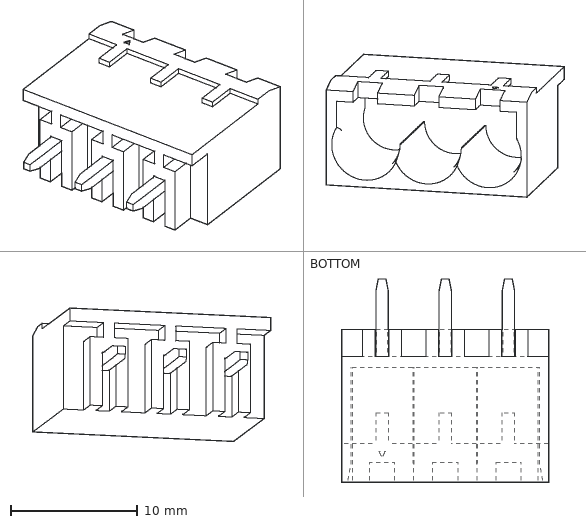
import cadquery as cq

WIDTH = 16.4
HEIGHT = 8.2
DEPTH = 12.1
PITCH = 5.0
POLES = (-PITCH, 0.0, PITCH)

RIM_HEIGHT = 0.45
RIM_DEPTH = 3.08
RIM_SLOPE = 1.57
RIB_WIDTH = 1.0
RIB_END = 5.5
ROOF_TOP = HEIGHT - RIM_HEIGHT

RECESS_DEPTH = 2.13
RECESS_TOP = 6.7
BLOCK_WIDTH = 3.08
BLOCK_TOP = 5.53
NECK_WIDTH = 0.89
SLOT_WIDTH = 1.1
SLOT_TOP = 4.33

PIN_WIDTH = 1.0
PIN_Z = 3.77
PIN_LENGTH = 4.0
TIP_LENGTH = 0.95
TIP_WIDTH = 0.62

WALL = 0.87
NOTCH_WIDTH = 2.0
CAVITY_DEPTH = DEPTH - RECESS_DEPTH - WALL
CAVITY_TOP = ROOF_TOP - WALL
SCALLOP_RADIUS = 2.46
FLARE = 0.28

MARK_SIZE = 0.51
MARK_GAP = 0.38
MARK_DEPTH = 0.1


def box(width, depth, height, x, y, z):
    """Box centred on x, rising from z and running toward +Y from y."""
    return cq.Workplane("XY").box(width, depth, height, centered=(True, False, False)).translate((x, y, z))


def housing():
    side_outline = [
        (0, 0),
        (DEPTH, 0),
        (DEPTH, ROOF_TOP),
        (DEPTH - RIM_SLOPE, HEIGHT),
        (DEPTH - RIM_DEPTH, HEIGHT),
        (DEPTH - RIM_DEPTH, ROOF_TOP),
        (0, ROOF_TOP),
    ]
    body = cq.Workplane("YZ").polyline(side_outline).close().extrude(WIDTH / 2, both=True)
    for x in POLES:
        rib = box(RIB_WIDTH, RIB_END - RIM_DEPTH, RIM_HEIGHT, x, DEPTH - RIB_END, ROOF_TOP)
        body = body.union(rib)
    return body


def solder_recess():
    """Space under the roof overhang that is left around the slotted blocks."""
    space = box(WIDTH, RECESS_DEPTH, RECESS_TOP, 0, 0, 0)
    for x in POLES:
        block = box(BLOCK_WIDTH, RECESS_DEPTH, BLOCK_TOP, x, 0, 0)
        neck = box(NECK_WIDTH, RECESS_DEPTH, RECESS_TOP, x, 0, 0)
        slot = box(SLOT_WIDTH, RECESS_DEPTH, SLOT_TOP, x, 0, 0)
        space = space.cut(block.union(neck)).union(slot)
    return space


def mating_cavity():
    """Space behind the mating face; the scallops flare out conically at the mouth."""
    axis_z = WALL + SCALLOP_RADIUS
    start = DEPTH - CAVITY_DEPTH
    cavity = box(WIDTH - 2 * WALL, CAVITY_DEPTH, CAVITY_TOP - axis_z, 0, start, axis_z)
    for x in POLES:
        scallop = cq.Workplane("XZ", origin=(x, DEPTH, axis_z)).circle(SCALLOP_RADIUS).extrude(CAVITY_DEPTH)
        flare = (
            cq.Workplane("XZ", origin=(x, DEPTH, axis_z))
            .circle(SCALLOP_RADIUS + FLARE)
            .workplane(offset=RIM_SLOPE)
            .circle(SCALLOP_RADIUS)
            .loft()
        )
        notch = box(NOTCH_WIDTH, RIM_SLOPE, HEIGHT - axis_z, x, DEPTH - RIM_SLOPE, axis_z)
        cavity = cavity.union(scallop).union(flare).union(notch)
    return cavity


def pin(x):
    """Solder pin running through the block slot to the recess wall."""
    shaft_end = TIP_LENGTH - PIN_LENGTH
    shaft = box(PIN_WIDTH, RECESS_DEPTH - shaft_end, PIN_WIDTH, x, shaft_end, PIN_Z - PIN_WIDTH / 2)
    tip = (
        cq.Workplane("XZ", origin=(x, shaft_end, PIN_Z))
        .rect(PIN_WIDTH, PIN_WIDTH)
        .workplane(offset=TIP_LENGTH)
        .rect(TIP_WIDTH, TIP_WIDTH)
        .loft()
    )
    return shaft.union(tip)


def pin_one_mark():
    """Shallow triangle sunk into the rim beside the first pole."""
    apex_y = DEPTH - RIM_SLOPE - MARK_GAP
    base_y = apex_y - MARK_SIZE
    x = POLES[0]
    corners = [(x, apex_y), (x - MARK_SIZE / 2, base_y), (x + MARK_SIZE / 2, base_y)]
    sketch_plane = cq.Workplane("XY").workplane(offset=HEIGHT - MARK_DEPTH)
    return sketch_plane.polyline(corners).close().extrude(MARK_DEPTH)


result = housing().cut(solder_recess()).cut(mating_cavity()).cut(pin_one_mark())
for pole_x in POLES:
    result = result.union(pin(pole_x))